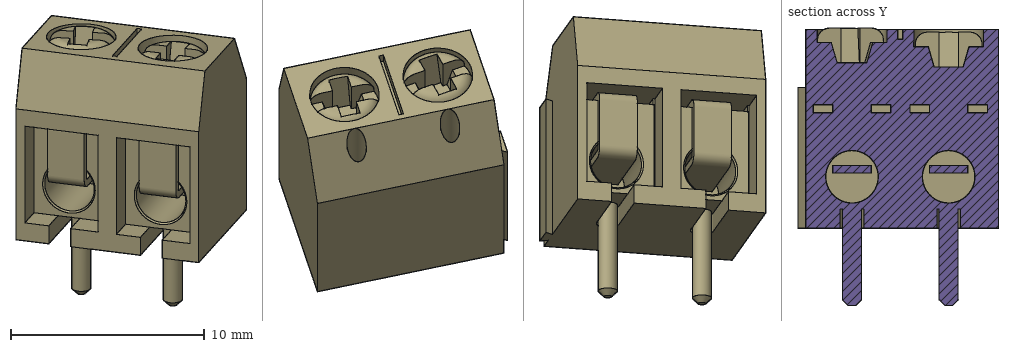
import cadquery as cq


POLE_PITCH = 5.0
POLE_COUNT = 2
WIDTH = 10.0
DEPTH = 7.8
HEIGHT = 10.31
SHOULDER_Z = 7.3
FRONT_SLOPE_RUN = 1.0
BACK_SLOPE_RUN = 1.98

RAIL_DEPTH = 0.4
RAIL_CENTER_Y = 6.31
RAIL_ROOT = 0.95
RAIL_FACE = 1.45

CHAMBER_CENTER_X = WIDTH / 4
CHAMBER_WIDTH = 4.01
CHAMBER_DEPTH = 1.73
CHAMBER_FLOOR = 1.0
CHAMBER_CEILING = 6.4

POLE_X = 2.4
POLE_Y = 3.5
CLAMP_SIZE = 4.0
CLAMP_TOP = 6.0
CLAMP_FRONT = POLE_Y - CLAMP_SIZE / 2
CLAMP_BACK = POLE_Y + CLAMP_SIZE / 2
WIRE_HOLE_DIAMETER = 2.7
WIRE_HOLE_Z = 2.67
WIRE_HOLE_CHAMFER = 0.09
CHAMFER_ANGLE = 45

GUARD_WIDTH = 2.0
GUARD_THICKNESS = CHAMBER_CEILING - CLAMP_TOP
GUARD_BEND_RADIUS = 0.52
GUARD_FRONT = 1.0
GUARD_BOTTOM = 2.86

PIN_DIAMETER = 1.0
PIN_LENGTH = 4.0
PIN_CHAMFER = 0.3
PIN_SLOT_WIDTH = 1.2

SCREW_DIAMETER = 3.6
WELL_DEPTH = 2.5
SCREW_EDGE_RADIUS = 0.62
SLOT_WIDTH = 1.0
SLOT_DEPTH = 0.75
CROSS_DEPTH = 1.8
CROSS_TOP_REACH = 1.27
CROSS_BOTTOM_REACH = 0.75
SCREW_RISES = (0.07, -0.15)
SCREW_ANGLES = (9, 0)

TEST_HOLE_DIAMETER = 1.0
TEST_HOLE_Y = 6.31

GROOVE_WIDTH = 0.25
GROOVE_LENGTH = 4.03
GROOVE_DEPTH = 0.5


def box(x_range, y_range, z_range):
    size = [high - low for low, high in (x_range, y_range, z_range)]
    corner = (x_range[0], y_range[0], z_range[0])
    return cq.Workplane("XY").box(*size, centered=False).translate(corner)


def centered(middle, size):
    return (middle - size / 2, middle + size / 2)


def make_housing():
    profile = [
        (0, 0),
        (DEPTH, 0),
        (DEPTH, SHOULDER_Z),
        (DEPTH - BACK_SLOPE_RUN, HEIGHT),
        (FRONT_SLOPE_RUN, HEIGHT),
        (0, SHOULDER_Z),
    ]
    return cq.Workplane("YZ").polyline(profile).close().extrude(WIDTH)


def make_rail():
    root_front, root_back = centered(RAIL_CENTER_Y, RAIL_ROOT)
    face_front, face_back = centered(RAIL_CENTER_Y, RAIL_FACE)
    outline = [
        (0, root_front),
        (-RAIL_DEPTH, face_front),
        (-RAIL_DEPTH, face_back),
        (0, root_back),
    ]
    return cq.Workplane("XY").polyline(outline).close().extrude(SHOULDER_Z)


def make_groove():
    middle_x = POLE_X + POLE_PITCH / 2
    return box(
        centered(middle_x, GROOVE_WIDTH),
        centered(POLE_Y, GROOVE_LENGTH),
        (HEIGHT - GROOVE_DEPTH, HEIGHT),
    )


def make_pole_cuts():
    """Wire chamber, clamp pocket, pin slot, screw well and test hole of the first pole."""
    chamber = box(
        centered(CHAMBER_CENTER_X, CHAMBER_WIDTH),
        (0, CHAMBER_DEPTH),
        (CHAMBER_FLOOR, CHAMBER_CEILING),
    )
    clamp_pocket = box(
        centered(POLE_X, CLAMP_SIZE),
        (CLAMP_FRONT, CLAMP_BACK),
        (CHAMBER_FLOOR, CHAMBER_CEILING),
    )
    pin_slot = box(centered(POLE_X, PIN_SLOT_WIDTH), (0, POLE_Y), (0, CHAMBER_FLOOR))
    slot_end = (
        cq.Workplane("XY")
        .center(POLE_X, POLE_Y)
        .circle(PIN_SLOT_WIDTH / 2)
        .extrude(CHAMBER_FLOOR)
    )
    well = (
        cq.Workplane("XY", origin=(POLE_X, POLE_Y, HEIGHT))
        .circle(SCREW_DIAMETER / 2)
        .extrude(-WELL_DEPTH)
    )
    test_hole = (
        cq.Workplane("XY", origin=(CHAMBER_CENTER_X, TEST_HOLE_Y, SHOULDER_Z))
        .circle(TEST_HOLE_DIAMETER / 2)
        .extrude(HEIGHT - SHOULDER_Z)
    )
    cuts = chamber
    for cut in (clamp_pocket, pin_slot, slot_end, well, test_hole):
        cuts = cuts.union(cut)
    return cuts


def make_clamp():
    block = box(
        centered(POLE_X, CLAMP_SIZE),
        (CLAMP_FRONT, CLAMP_BACK),
        (CHAMBER_FLOOR, CLAMP_TOP),
    )
    front_plane = cq.Workplane("XZ", origin=(POLE_X, CLAMP_FRONT, WIRE_HOLE_Z))
    hole = front_plane.circle(WIRE_HOLE_DIAMETER / 2).extrude(-CLAMP_SIZE)
    rim_radius = WIRE_HOLE_DIAMETER / 2 + WIRE_HOLE_CHAMFER
    countersink = front_plane.circle(rim_radius).extrude(-WIRE_HOLE_CHAMFER, taper=CHAMFER_ANGLE)
    return block.cut(hole).cut(countersink)


def make_guard():
    outer = box(
        centered(POLE_X, GUARD_WIDTH),
        (GUARD_FRONT, CLAMP_BACK),
        (GUARD_BOTTOM, CHAMBER_CEILING),
    )
    inner = box(
        centered(POLE_X, GUARD_WIDTH),
        (GUARD_FRONT + GUARD_THICKNESS, CLAMP_BACK),
        (GUARD_BOTTOM + GUARD_THICKNESS, CLAMP_TOP),
    )
    inner_radius = GUARD_BEND_RADIUS - GUARD_THICKNESS
    outer = outer.faces("<Y").edges("|X").fillet(GUARD_BEND_RADIUS)
    return outer.cut(inner.faces("<Y").edges("|X").fillet(inner_radius))


def make_pin():
    return (
        cq.Workplane("XY", origin=(POLE_X, POLE_Y, CHAMBER_FLOOR))
        .circle(PIN_DIAMETER / 2)
        .extrude(-(CHAMBER_FLOOR + PIN_LENGTH))
        .faces("<Z")
        .chamfer(PIN_CHAMFER)
    )


def make_cross_arm():
    """One bar of the cross recess along X, narrowing in length downwards."""
    outline = [
        (-CROSS_TOP_REACH, 0),
        (CROSS_TOP_REACH, 0),
        (CROSS_BOTTOM_REACH, -CROSS_DEPTH),
        (-CROSS_BOTTOM_REACH, -CROSS_DEPTH),
    ]
    return cq.Workplane("XZ").polyline(outline).close().extrude(SLOT_WIDTH / 2, both=True)


def make_screw(rise, angle):
    head = (
        cq.Workplane("XY")
        .circle(SCREW_DIAMETER / 2)
        .extrude(-(WELL_DEPTH + rise))
        .faces(">Z")
        .edges()
        .fillet(SCREW_EDGE_RADIUS)
    )
    slot = box(centered(0, SCREW_DIAMETER), centered(0, SLOT_WIDTH), (-SLOT_DEPTH, 0))
    arm = make_cross_arm()
    crossing_arm = arm.rotate((0, 0, 0), (0, 0, 1), 90)
    head = head.cut(slot).cut(arm).cut(crossing_arm)
    return head.rotate((0, 0, 0), (0, 0, 1), angle).translate((POLE_X, POLE_Y, HEIGHT + rise))


result = make_housing().union(make_rail()).cut(make_groove())
for pole in range(POLE_COUNT):
    offset = (pole * POLE_PITCH, 0, 0)
    screw = make_screw(SCREW_RISES[pole], SCREW_ANGLES[pole])
    result = result.cut(make_pole_cuts().translate(offset))
    for metal_part in (make_clamp(), make_guard(), make_pin(), screw):
        result = result.union(metal_part.translate(offset))